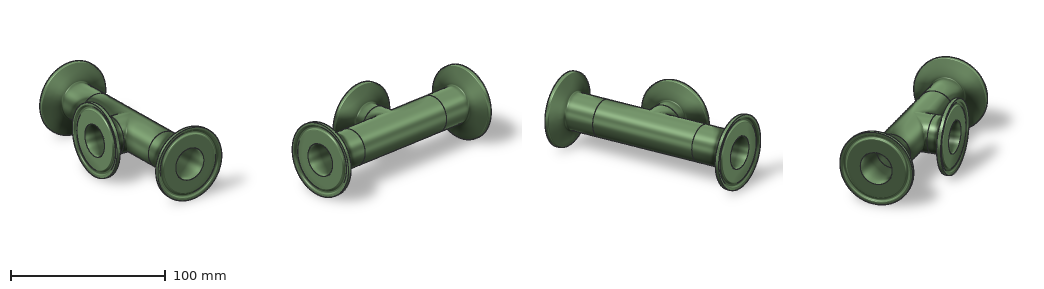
import cadquery as cq
import math

run_length = 133.4
tee_length = 76.0
branch_span = 57.0
branch_ferrule_length = 14.3
tube_radius = 25.3 / 2
bore_radius = 22.1 / 2

flange_radius = 50.5 / 2
rim_width = 2.1
rim_round = 1.0
neck_round = 1.5
cone_angle = math.radians(70)

groove_middle_radius = 21.9
groove_bottom_round = 1.3
groove_lip_round = 1.0
groove_angle = math.radians(60)

crotch_round = 1.0

run_ferrule_length = (run_length - tee_length) / 2
branch_reach = branch_span / 2
branch_tee_reach = branch_reach - branch_ferrule_length


def arc_point(center, radius, angle):
    """Point on an arc; the angle is measured from the radial direction towards the axial one."""
    return (center[0] + radius * math.sin(angle), center[1] + radius * math.cos(angle))


def make_ferrule(length):
    """Ferrule along +X with its sealing face at X = 0; the profile points are (axial, radial)."""
    rim_center = (rim_width, flange_radius - rim_round)
    rim_end = arc_point(rim_center, rim_round, cone_angle)

    neck_start_radius = tube_radius + neck_round * (1 - math.cos(cone_angle))
    neck_start = (
        rim_end[0] + (rim_end[1] - neck_start_radius) / math.tan(cone_angle),
        neck_start_radius,
    )
    neck_center = (
        neck_start[0] + neck_round * math.sin(cone_angle),
        tube_radius + neck_round,
    )
    neck_middle = arc_point(neck_center, neck_round, math.pi + cone_angle / 2)

    return (
        cq.Workplane("XY")
        .moveTo(0, bore_radius)
        .lineTo(0, flange_radius)
        .lineTo(rim_width, flange_radius)
        .threePointArc(arc_point(rim_center, rim_round, cone_angle / 2), rim_end)
        .lineTo(*neck_start)
        .threePointArc(neck_middle, (neck_center[0], tube_radius))
        .lineTo(length, tube_radius)
        .lineTo(length, bore_radius)
        .close()
        .revolve(360, (0, 0, 0), (1, 0, 0))
        .cut(make_gasket_groove())
    )


def make_gasket_groove():
    """Ring-shaped cutter: a round bottom that flows into the face over two rounded lips."""
    half_width = (groove_bottom_round + groove_lip_round) * math.sin(groove_angle)
    lip_half_width = groove_bottom_round * math.sin(groove_angle)
    lip_depth = groove_lip_round * (1 - math.cos(groove_angle))
    depth = lip_depth + groove_bottom_round * (1 - math.cos(groove_angle))
    lip_middle_depth = groove_lip_round * (1 - math.cos(groove_angle / 2))
    lip_middle_offset = half_width - groove_lip_round * math.sin(groove_angle / 2)

    return (
        cq.Workplane("XY")
        .moveTo(0, groove_middle_radius - half_width)
        .threePointArc(
            (lip_middle_depth, groove_middle_radius - lip_middle_offset),
            (lip_depth, groove_middle_radius - lip_half_width),
        )
        .threePointArc(
            (depth, groove_middle_radius),
            (lip_depth, groove_middle_radius + lip_half_width),
        )
        .threePointArc(
            (lip_middle_depth, groove_middle_radius + lip_middle_offset),
            (0, groove_middle_radius + half_width),
        )
        .close()
        .revolve(360, (0, 0, 0), (1, 0, 0))
    )


def make_tee_shape(radius):
    """Solid tee of one radius: the run cylinder joined with the branch cylinder."""
    run = cq.Workplane("YZ").circle(radius).extrude(tee_length / 2, both=True)
    branch = cq.Workplane("XZ").circle(radius).extrude(branch_tee_reach)
    return run.union(branch)


def make_tee():
    """Tee with rounded crotches and a bore through all three legs."""
    outside = make_tee_shape(tube_radius).edges("%ELLIPSE").fillet(crotch_round)
    return outside.cut(make_tee_shape(bore_radius))


tee = make_tee()

run_ferrules = [
    make_ferrule(run_ferrule_length)
    .translate((-run_length / 2, 0, 0))
    .rotate((0, 0, 0), (0, 0, 1), turn)
    for turn in (0, 180)
]

branch_ferrule = (
    make_ferrule(branch_ferrule_length)
    .translate((-branch_reach, 0, 0))
    .rotate((0, 0, 0), (0, 0, 1), 90)
)

result = cq.Compound.makeCompound(
    [tee.val(), branch_ferrule.val(), *[ferrule.val() for ferrule in run_ferrules]]
)